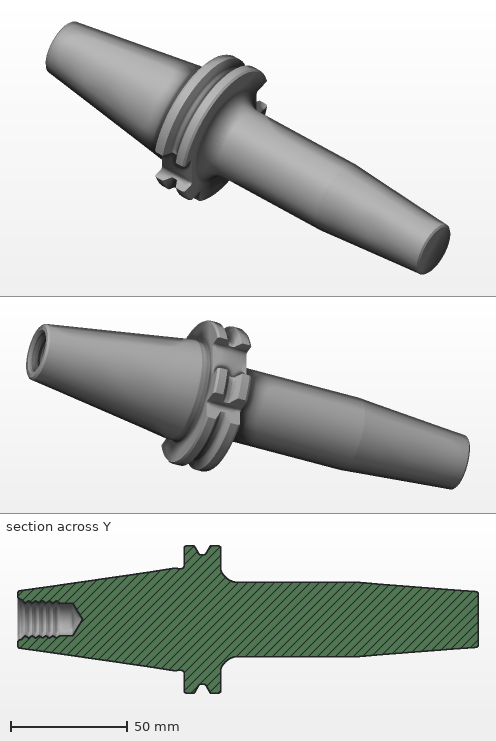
import cadquery as cq
import math

length = 198.2

taper_ratio = 7 / 24
taper_length = 67.8
taper_large_radius = 22.2
taper_small_radius = taper_large_radius - taper_length * taper_ratio / 2
taper_end_chamfer = 0.8
collar_radius = 22.0
collar_start = 69.0
collar_fillet = 1.0

flange_start = 71.5
flange_width = 15.9
flange_end = flange_start + flange_width
flange_diameter = 63.6
flange_radius = flange_diameter / 2
flange_chamfer_length = 1.0
flange_chamfer_depth = 0.5
groove_center = 79.5
groove_mouth = 7.0
groove_wall_angle = 30
groove_floor_radius = 28.0
groove_floor_fillet = 0.8
groove_depth = flange_radius - groove_floor_radius
groove_floor_width = groove_mouth - 2 * groove_depth * math.tan(math.radians(groove_wall_angle))

shank_radius = 16.0
shank_fillet_radius = 8.0
shank_fillet_end = 95.0
nose_start = 147.0
nose_end_radius = 12.0
nose_chamfer = 0.8

slot_width = 16.3
slot_floor_plus_y = 22.5
slot_floor_minus_y = 25.0
slot_corner_radius = 1.2
notch_y = 18.2
notch_z = 18.2
notch_corner_radius = 1.0

bore_mouth_radius = 9.7
counterbore_radius = 8.5
counterbore_depth = 1.8
thread_radius = 8.0
thread_pitch = 3.0
thread_turns = 5
drill_radius = 7.0
drill_depth = 23.8
drill_point_half_angle = 59


def make_body():
    """Revolve the taper, flange, shank and nose in one profile."""
    chamfer_radius = taper_small_radius - taper_end_chamfer
    taper_edge_radius = taper_small_radius + taper_end_chamfer * taper_ratio / 2
    rim_radius = flange_radius - flange_chamfer_depth
    arc_diagonal = math.sqrt(0.5)
    collar_arc_mid = (
        flange_start - collar_fillet * (1 - arc_diagonal),
        collar_radius + collar_fillet * (1 - arc_diagonal),
    )
    fillet_sweep = math.asin((shank_fillet_end - flange_end) / shank_fillet_radius)

    def shank_fillet_point(angle):
        return (
            shank_fillet_end - shank_fillet_radius * math.sin(angle),
            shank_radius + shank_fillet_radius * (1 - math.cos(angle)),
        )

    profile = (
        cq.Workplane("XY")
        .moveTo(0, 0)
        .lineTo(0, chamfer_radius)
        .lineTo(taper_end_chamfer, taper_edge_radius)
        .lineTo(taper_length, taper_large_radius)
        .lineTo(collar_start, collar_radius)
        .lineTo(flange_start - collar_fillet, collar_radius)
        .threePointArc(collar_arc_mid, (flange_start, collar_radius + collar_fillet))
        .lineTo(flange_start, rim_radius)
        .lineTo(flange_start + flange_chamfer_length, flange_radius)
        .lineTo(groove_center - groove_mouth / 2, flange_radius)
        .lineTo(groove_center - groove_floor_width / 2, groove_floor_radius)
        .lineTo(groove_center + groove_floor_width / 2, groove_floor_radius)
        .lineTo(groove_center + groove_mouth / 2, flange_radius)
        .lineTo(flange_end - flange_chamfer_length, flange_radius)
        .lineTo(flange_end, rim_radius)
        .lineTo(*shank_fillet_point(fillet_sweep))
        .threePointArc(shank_fillet_point(fillet_sweep / 2), shank_fillet_point(0))
        .lineTo(nose_start, shank_radius)
        .lineTo(length - nose_chamfer, nose_end_radius)
        .lineTo(length, nose_end_radius - nose_chamfer)
        .lineTo(length, 0)
        .close()
    )
    body = profile.revolve(360, (0, 0, 0), (1, 0, 0))
    half_floor = groove_floor_width / 2 + groove_floor_fillet / 10
    floor_zone = cq.selectors.BoxSelector(
        (groove_center - half_floor, -flange_diameter, -flange_diameter),
        (groove_center + half_floor, flange_diameter, flange_diameter),
    )
    floor_edges = body.edges("%CIRCLE").edges(floor_zone)
    return floor_edges.fillet(groove_floor_fillet)


def flange_cutter(y_floor, y_side, z_low, z_high):
    """Box through the flange width, from a floor at y_floor outward to the given side of Y."""
    depth = 2 * flange_radius - y_floor
    return cq.Workplane("XY").box(flange_width, depth, z_high - z_low).translate(
        (flange_start + flange_width / 2, y_side * (y_floor + depth / 2), (z_low + z_high) / 2)
    )


def make_slot(y_floor, y_side):
    """Drive slot with rounded floor corners."""
    floor_side = "<Y" if y_side > 0 else ">Y"
    slot = flange_cutter(y_floor, y_side, -slot_width / 2, slot_width / 2)
    return slot.faces(floor_side).edges("|X").fillet(slot_corner_radius)


def make_notch():
    """Orientation notch, open towards -Y and -Z, with a rounded inner corner."""
    notch = flange_cutter(notch_y, -1, -2 * flange_radius, -notch_z)
    return notch.faces(">Y").edges("|X and >Z").fillet(notch_corner_radius)


def make_bore():
    """Chamfered counterbore, V-shaped thread rings, and a pointed drill hole."""
    point_length = drill_radius / math.tan(math.radians(drill_point_half_angle))
    counterbore_start = bore_mouth_radius - counterbore_radius
    thread_start = counterbore_depth + counterbore_radius - drill_radius
    profile = (
        cq.Workplane("XY")
        .moveTo(0, 0)
        .lineTo(0, bore_mouth_radius)
        .lineTo(counterbore_start, counterbore_radius)
        .lineTo(counterbore_depth, counterbore_radius)
        .lineTo(thread_start, drill_radius)
    )
    for turn in range(thread_turns):
        turn_start = thread_start + turn * thread_pitch
        profile = profile.lineTo(turn_start + thread_pitch / 2, thread_radius)
        profile = profile.lineTo(turn_start + thread_pitch, drill_radius)
    profile = (
        profile
        .lineTo(drill_depth, drill_radius)
        .lineTo(drill_depth + point_length, 0)
        .close()
    )
    return profile.revolve(360, (0, 0, 0), (1, 0, 0))


result = (
    make_body()
    .cut(make_slot(slot_floor_plus_y, 1))
    .cut(make_slot(slot_floor_minus_y, -1))
    .cut(make_notch())
    .cut(make_bore())
)